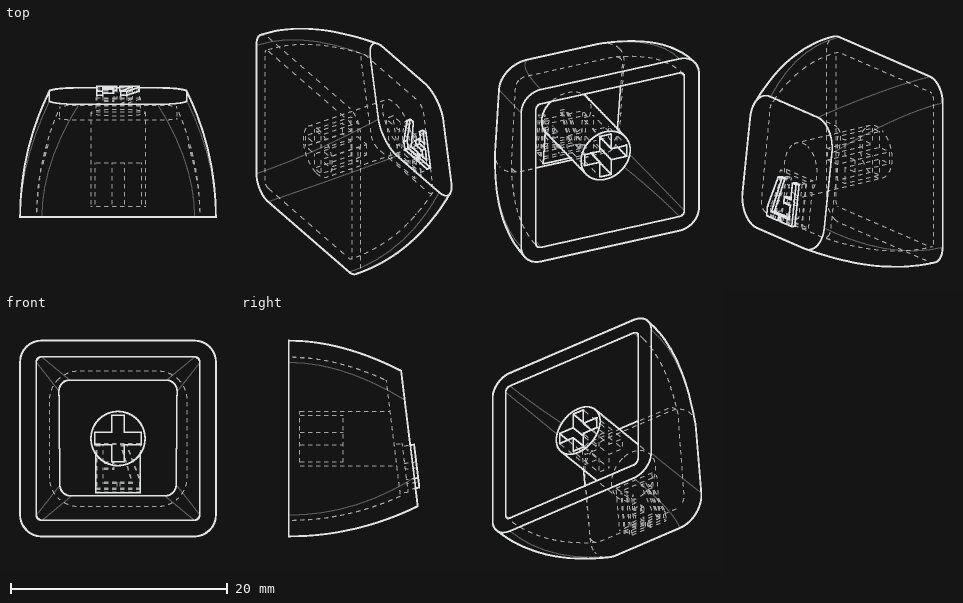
import cadquery as cq
import math

rim_size = 18.1
rim_corner = 2.0

roof_size_x = 12.7
roof_size_z = 12.6
roof_corner = 2.7
roof_height = 11.17
roof_tilt = math.radians(7)

wall = 1.5

stem_diameter = 5.0
stem_recess = 1.0
cross_length = 4.25
cross_width = 1.15
cross_depth = 4.0

legend_left = -1.95
legend_right = 1.95
legend_bottom = 0.6
legend_top = 4.62
legend_stroke = 0.55
legend_raise = 0.36
f_arm_end = -0.13
f_middle_arm_end = -0.4
f_middle_arm_bottom = 2.2
seven_left = 0.15
seven_foot_left = 0.25
seven_knee = 3.7
seven_inner_corner = 1.3

backing_side_margin = 0.1
backing_end_margin = 0.25
backing_thickness = wall / 2

roof_normal = cq.Vector(0, math.cos(roof_tilt), math.sin(roof_tilt))


def roof_plane(depth):
    """Plane parallel to the roof, at a depth below its outer face."""
    origin = cq.Vector(0, roof_height, 0) - roof_normal * depth
    return cq.Plane(origin=origin, xDir=(1, 0, 0), normal=roof_normal)


def section(level, rim_inset, roof_inset, corner_inset):
    """Rounded rectangle at a level from 0 (rim) to 1 (roof), on a parabola that starts upright."""
    narrowing = level**2
    inset = rim_inset + (roof_inset - rim_inset) * narrowing
    size_x = rim_size + (roof_size_x - rim_size) * narrowing - 2 * inset
    size_z = rim_size + (roof_size_z - rim_size) * narrowing - 2 * inset
    corner = rim_corner + (roof_corner - rim_corner) * narrowing - corner_inset
    tilt = level * roof_tilt
    plane = cq.Plane(
        origin=(0, level * roof_height, 0),
        xDir=(1, 0, 0),
        normal=(0, math.cos(tilt), math.sin(tilt)),
    )
    outline = cq.Sketch().rect(size_x, size_z).vertices().fillet(corner)
    return outline.moved(cq.Location(plane))


def dome(rim_inset=0, roof_inset=0, corner_inset=0):
    """Solid that narrows from the rim to the roof."""
    levels = (0, 0.5, 1)
    sections = [section(level, rim_inset, roof_inset, corner_inset) for level in levels]
    return cq.Workplane().placeSketch(*sections).loft()


def make_stem():
    """Stem running past the ceiling, with a blind cross socket in its free end."""
    end_plane = cq.Workplane("XZ", origin=(0, stem_recess, 0))
    stem = end_plane.circle(stem_diameter / 2).extrude(-roof_height)
    cross = (
        end_plane.rect(cross_length, cross_width).extrude(-cross_depth)
        .union(end_plane.rect(cross_width, cross_length).extrude(-cross_depth))
    )
    return stem.cut(cross)


def make_cavity():
    """Space inside the skirt, below a ceiling parallel to the roof, with the stem left standing."""
    roof_lean = math.atan((rim_size - roof_size_x) / roof_height)
    space = dome(wall, wall / math.cos(roof_lean), wall)
    above_ceiling = cq.Workplane(roof_plane(wall)).rect(rim_size, rim_size).extrude(roof_height)
    return space.cut(above_ceiling).cut(make_stem())


def make_legend():
    """Raised characters F and 7 on one backing plate that is flush with the ceiling."""
    arm_bottom = legend_top - legend_stroke
    f_stem_right = legend_left + legend_stroke
    f_outline = [
        (legend_left, legend_bottom),
        (f_stem_right, legend_bottom),
        (f_stem_right, f_middle_arm_bottom),
        (f_middle_arm_end, f_middle_arm_bottom),
        (f_middle_arm_end, f_middle_arm_bottom + legend_stroke),
        (f_stem_right, f_middle_arm_bottom + legend_stroke),
        (f_stem_right, arm_bottom),
        (f_arm_end, arm_bottom),
        (f_arm_end, legend_top),
        (legend_left, legend_top),
    ]
    seven_outline = [
        (seven_foot_left, legend_bottom),
        (seven_foot_left + legend_stroke, legend_bottom),
        (legend_right, seven_knee),
        (legend_right, legend_top),
        (seven_left, legend_top),
        (seven_left, arm_bottom),
        (seven_inner_corner, arm_bottom),
    ]
    backing_width = legend_right - legend_left + 2 * backing_side_margin
    backing_length = legend_top - legend_bottom + 2 * backing_end_margin
    legend = (
        cq.Workplane(roof_plane(wall))
        .center((legend_left + legend_right) / 2, (legend_bottom + legend_top) / 2)
        .rect(backing_width, backing_length)
        .extrude(backing_thickness)
    )
    for outline in (f_outline, seven_outline):
        character = cq.Workplane(roof_plane(wall)).polyline(outline).close()
        legend = legend.union(character.extrude(wall + legend_raise))
    return legend


legend = make_legend()
cap = dome().cut(make_cavity()).cut(legend)

result = cq.Compound.makeCompound([cap.val(), legend.val()])